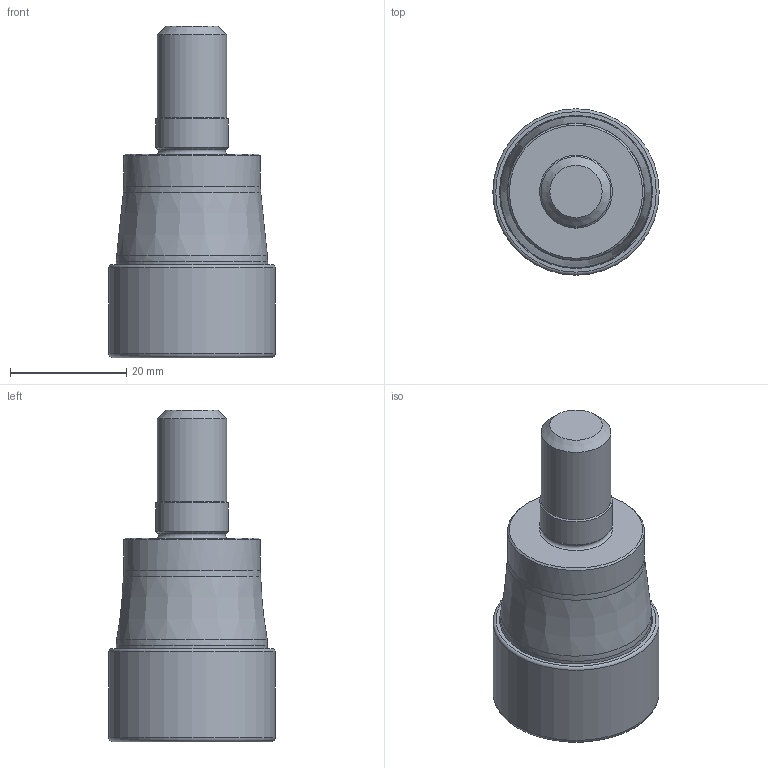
import cadquery as cq
import math

total_height = 57.0
cap_height = 16.0
stud_length = 22.0
shoulder_z = total_height - stud_length

cap_radius = 28.575 / 2
cap_top_fillet = 0.5
cap_bottom_fillet = 0.75
recess_clearance = 0.15

neck_radius = 11.75
neck_height = 6.0
base_radius = 13.0
exposed_base_height = 1.0
taper_blend_radius = 10.0
shoulder_chamfer = 0.3
taper_bottom_z = cap_height + exposed_base_height
taper_top_z = shoulder_z - neck_height

recess_radius = base_radius + recess_clearance
recess_floor_z = cap_radius - recess_radius

stud_radius = 6.0
stud_tip_chamfer = 1.5
collar_radius = 6.25
collar_top_z = shoulder_z + 6.3
collar_chamfer = collar_radius - stud_radius

groove_radius = 5.75
groove_arc_radius = collar_radius - groove_radius
groove_floor_z = shoulder_z + groove_arc_radius
cos_45 = math.cos(math.radians(45))
groove_cone_radius = groove_radius + groove_arc_radius * (1 - cos_45)
groove_cone_z = groove_floor_z + groove_arc_radius * cos_45
collar_bottom_z = groove_cone_z + collar_radius - groove_cone_radius


def make_cap():
    """Round cup with both outer rims rounded and a flat-floored recess for the tapered body."""
    cap = cq.Workplane("XY").circle(cap_radius).extrude(cap_height)
    cap = cap.faces(">Z").edges().fillet(cap_top_fillet)
    cap = cap.faces("<Z").edges().fillet(cap_bottom_fillet)
    recess = (
        cq.Workplane("XY", origin=(0, 0, recess_floor_z))
        .circle(recess_radius)
        .extrude(cap_height - recess_floor_z)
    )
    return cap.cut(recess)


def make_tapered_base():
    """Neck, cone and base cylinder, blended into each other by large arcs."""
    base = (
        cq.Workplane("XZ")
        .moveTo(0, recess_floor_z)
        .lineTo(base_radius, recess_floor_z)
        .lineTo(base_radius, taper_bottom_z)
        .lineTo(neck_radius, taper_top_z)
        .lineTo(neck_radius, shoulder_z)
        .lineTo(0, shoulder_z)
        .close()
        .revolve(360, (0, 0, 0), (0, 1, 0))
    )
    base = base.faces("%CONE").edges("%CIRCLE").fillet(taper_blend_radius)
    return base.faces(">Z").edges().chamfer(shoulder_chamfer)


def make_stud():
    """Chamfered stud with a locating collar and a relief groove below the collar."""
    return (
        cq.Workplane("XZ")
        .moveTo(0, shoulder_z)
        .lineTo(collar_radius, shoulder_z)
        .radiusArc((groove_radius, groove_floor_z), groove_arc_radius)
        .radiusArc((groove_cone_radius, groove_cone_z), groove_arc_radius)
        .lineTo(collar_radius, collar_bottom_z)
        .lineTo(collar_radius, collar_top_z - collar_chamfer)
        .lineTo(stud_radius, collar_top_z)
        .lineTo(stud_radius, total_height - stud_tip_chamfer)
        .lineTo(stud_radius - stud_tip_chamfer, total_height)
        .lineTo(0, total_height)
        .close()
        .revolve(360, (0, 0, 0), (0, 1, 0))
    )


cap = make_cap()
stud_body = make_tapered_base().union(make_stud())

result = cq.Compound.makeCompound([cap.solids().val(), stud_body.solids().val()])